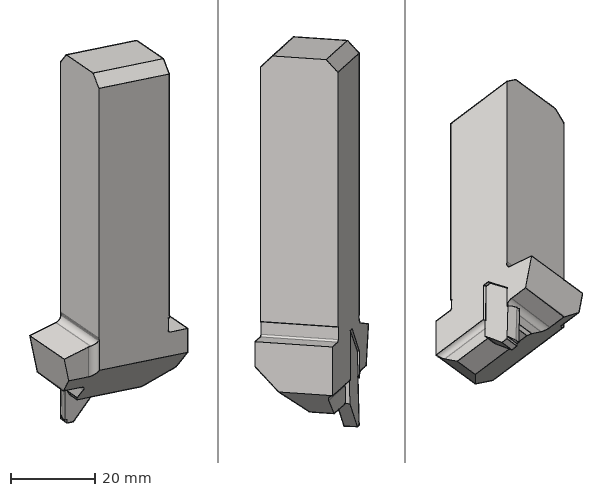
import cadquery as cq
import math


shank_size = 19.05
shank_chamfer = 2.9
blade_lean = 1.5
blade_thickness = 3.3
overall_height = 94.06
tip_drop = blade_thickness * math.sin(math.radians(blade_lean))
shank_top = overall_height - tip_drop

front_relief_depth = 0.1
front_relief_top = 27.2
front_relief_taper = 0.5
rear_relief_depth = 0.3
rear_relief_top = 28.7

overall_depth = 32.32
lug_back = 24.03
shoulder_height = 25.07
lug_corner_radius = 0.5

underside_height = 13.05
rib_bottom = 7.16
rib_heel = 6.0
rib_recess = 1.05
rib_toe_height = 1.05
rib_toe_depth = 0.5
undercut_radius = 1.52

nose_tip = lug_back - overall_depth
nose_tip_height = 22.75
nose_bottom_front = -6.24
nose_root_height = 25.1
nose_width = 17.05
nose_fillet = 1.8

corner_cut_height = 18.97

blade_back = 7.67
blade_top = shoulder_height
blade_top_front = 6.28
blade_front_top = 18.1
blade_back_bottom = 7.1
blade_tip_length = 1.7
lip_height = 0.6
lip_width = 0.95
tip_land = 0.9
seat_bevel_width = 0.33
seat_bevel_depth = 0.6

margin = 10.0


def lean(shape):
    """Tilt a shape about the Y axis through the blade tip."""
    return shape.rotate((0, 0, 0), (0, 1, 0), blade_lean)


def side_plate(points, x_start, x_end):
    """Extrude a (Y, Z) outline between two X positions."""
    outline = cq.Workplane("YZ").workplane(offset=x_start).polyline(points).close()
    return outline.extrude(x_end - x_start)


def box_between(low, high):
    """Box spanning two opposite corners."""
    sizes = [b - a for a, b in zip(low, high)]
    return cq.Workplane("XY").box(*sizes, centered=False).translate(low)


def make_shank_and_lug():
    relieved_back = shank_size - rear_relief_depth
    outline = [
        (front_relief_depth, rib_bottom),
        (lug_back - rib_heel, rib_bottom),
        (lug_back, rib_bottom + rib_heel),
        (lug_back, shoulder_height),
        (relieved_back, shoulder_height),
        (relieved_back, rear_relief_top),
        (shank_size, rear_relief_top),
        (shank_size, shank_top),
        (0, shank_top),
        (0, front_relief_top),
        (front_relief_depth, front_relief_top - front_relief_taper),
    ]
    body = side_plate(outline, 0, shank_size)
    lug_corner = cq.selectors.NearestToPointSelector((shank_size / 2, relieved_back, shoulder_height))
    body = body.edges(lug_corner).fillet(lug_corner_radius)
    return body.faces(">Z").edges("|Y").chamfer(shank_chamfer)


def add_nose(body):
    outline = [
        (front_relief_depth, rib_bottom),
        (front_relief_depth, nose_root_height),
        (nose_tip, nose_tip_height),
        (nose_bottom_front, underside_height),
        (nose_bottom_front, rib_bottom),
    ]
    body = body.union(side_plate(outline, 0, nose_width))
    root_top = (nose_width / 2, front_relief_depth, nose_root_height)
    root_side = (nose_width, front_relief_depth, (rib_bottom + nose_root_height) / 2)
    nearest = cq.selectors.NearestToPointSelector
    roots = nearest(root_top) + nearest(root_side)
    return body.edges(roots).fillet(nose_fillet)


def cut_underside(body):
    """Leave only the support rib below the nose and the lug."""
    front_cutter = box_between(
        (-margin, nose_tip - margin, -margin),
        (shank_size + margin, 0, underside_height),
    )
    front_cutter = front_cutter.edges(">Y and >Z").fillet(undercut_radius)
    side_cutter = box_between(
        (-margin, 0, -margin),
        (rib_recess, lug_back + margin, underside_height),
    )
    side_cutter = side_cutter.edges(">X and >Z").fillet(undercut_radius)
    body = body.cut(lean(front_cutter)).cut(lean(side_cutter))

    toe = [
        (0, rib_bottom + rib_toe_height),
        (front_relief_depth + rib_toe_depth, rib_bottom),
        (0, rib_bottom),
    ]
    return body.cut(side_plate(toe, 0, shank_size))


def cut_lower_corner(body):
    """Slope the lower +X corner at 45 degrees through the full depth."""
    triangle = [
        (shank_size, corner_cut_height),
        (shank_size, 0),
        (shank_size - corner_cut_height, 0),
    ]
    cutter = cq.Workplane("XZ").polyline(triangle).close().extrude(2 * lug_back, both=True)
    return body.cut(cutter)


def blade_outline(front):
    """Side outline of the blade; the front edge follows the sloping top."""
    top_slope = (blade_top - blade_front_top) / blade_top_front
    return [
        (front, 0),
        (front, blade_front_top + top_slope * front),
        (blade_top_front, blade_top),
        (blade_back, blade_top),
        (blade_back, blade_back_bottom),
        (blade_tip_length, 0),
    ]


def make_blade():
    """Leaning blade with a rake face rising to a lip, and a land at the tip."""
    blade = side_plate(blade_outline(-lip_height), 0, blade_thickness)
    rake = [
        (0, 0),
        (blade_thickness - lip_width, -lip_height),
        (0, -lip_height),
    ]
    blade = blade.cut(cq.Workplane("XY").polyline(rake).close().extrude(blade_top))
    land_cutter = box_between((0, -lip_height, 0), (blade_thickness, 0, tip_land))
    return lean(blade.cut(land_cutter))


def cut_blade_seat(body, blade):
    """Pocket that fits the blade, open toward -X, with a bevelled rear edge."""
    opening = lean(side_plate(blade_outline(0), -margin, 0))
    bevel = [
        (0, blade_back),
        (0, blade_back + seat_bevel_width),
        (seat_bevel_depth, blade_back),
    ]
    bevel_cutter = cq.Workplane("XY").workplane(offset=rib_bottom).polyline(bevel).close()
    bevel_cutter = bevel_cutter.extrude(blade_top - rib_bottom)
    return body.cut(opening).cut(blade).cut(bevel_cutter)


blade = make_blade()

holder = make_shank_and_lug()
holder = add_nose(holder)
holder = cut_underside(holder)
holder = cut_lower_corner(holder)
holder = cut_blade_seat(holder, blade)

result = cq.Compound.makeCompound([holder.val(), blade.val()])